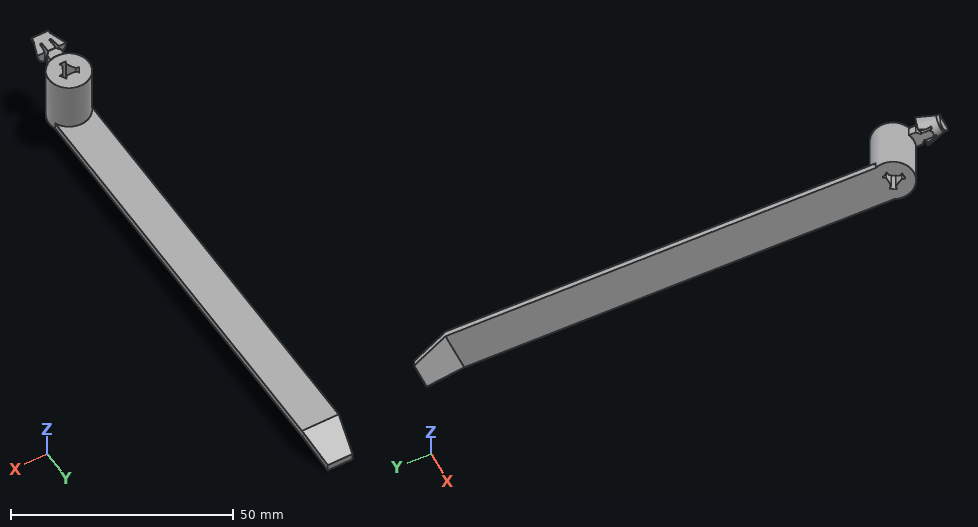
import cadquery as cq
import math

barrel_radius = 5.2
barrel_height = 15.0

overall_length = 130.9
plug_end = 12.7
strap_end = overall_length - plug_end
strap_half_width = 4.8
strap_thickness = 1.8
tip_length = 8.6
tip_drop = 4.2
tip_half_width = 3.3
bend = strap_end - tip_length

arm_count = 3
keyhole_shift = 0.3
arm_reach = 2.5
arm_tip_half_width = 0.8
waist_reach = 1.7
waist_half_width = 0.5
web_reach = 1.25

plug_depth = 2.9
collar_half_width = 1.8
collar_end = 6.5
neck_half_width = 0.9
head_start = 7.5
head_radius = 3.8
head_tip_radius = 2.2
tip_land = 0.8
slot_inner = 1.0
slot_mouth_outer = 1.8
slot_floor_outer = 1.5
slot_end = 10.2
collar_drop = 0.1
end_face_height = 1.2
end_setback = 0.5


def make_strap():
    profile = (
        cq.Workplane("YZ")
        .moveTo(0, 0)
        .lineTo(bend, 0)
        .lineTo(strap_end, -tip_drop)
        .lineTo(strap_end, strap_thickness - tip_drop)
        .lineTo(bend, strap_thickness)
        .lineTo(0, strap_thickness)
        .close()
        .extrude(strap_half_width, both=True)
    )
    outline = (
        cq.Workplane("XY", origin=(0, 0, -tip_drop))
        .polyline([
            (-strap_half_width, 0),
            (strap_half_width, 0),
            (strap_half_width, bend),
            (tip_half_width, strap_end),
            (-tip_half_width, strap_end),
            (-strap_half_width, bend),
        ])
        .close()
        .extrude(tip_drop + strap_thickness)
    )
    return profile.intersect(outline)


def arm_point(reach, offset, angle):
    """Point at a reach along an arm and an offset to its left."""
    return (
        reach * math.cos(angle) - offset * math.sin(angle),
        reach * math.sin(angle) + offset * math.cos(angle),
    )


def make_keyhole():
    pitch = 2 * math.pi / arm_count
    first = -math.pi / 2
    outline = cq.Workplane("XY").moveTo(*arm_point(waist_reach, -waist_half_width, first))
    for index in range(arm_count):
        angle = first + index * pitch
        outline = (
            outline
            .lineTo(*arm_point(arm_reach, -arm_tip_half_width, angle))
            .lineTo(*arm_point(arm_reach, arm_tip_half_width, angle))
            .lineTo(*arm_point(waist_reach, waist_half_width, angle))
            .threePointArc(
                arm_point(web_reach, 0, angle + pitch / 2),
                arm_point(waist_reach, -waist_half_width, angle + pitch),
            )
        )
    return outline.close().extrude(barrel_height).translate((0, -keyhole_shift, 0))


def hang_from_top(points, drop=0):
    """Prism down to the plug depth, with its upper face a drop below the barrel top."""
    return (
        cq.Workplane("XY", origin=(0, 0, barrel_height - drop))
        .polyline(points)
        .close()
        .extrude(drop - plug_depth)
    )


def make_collar_and_neck():
    collar_start = barrel_radius / 2
    collar = hang_from_top([
        (-collar_half_width, -collar_start),
        (collar_half_width, -collar_start),
        (collar_half_width, -collar_end),
        (-collar_half_width, -collar_end),
    ], collar_drop)
    neck = hang_from_top([
        (-collar_half_width, -collar_end),
        (collar_half_width, -collar_end),
        (neck_half_width, -head_start),
        (-neck_half_width, -head_start),
    ], collar_drop)
    return collar.union(neck)


def make_head():
    cone = (
        cq.Workplane("XY")
        .polyline([
            (0, -head_start),
            (head_radius, -head_start),
            (head_tip_radius, -plug_end + tip_land),
            (head_tip_radius, -plug_end),
            (0, -plug_end),
        ])
        .close()
        .revolve(360, (0, 0), (0, 1))
        .translate((0, 0, barrel_height))
    )
    envelope = hang_from_top([
        (-head_radius, -head_start),
        (head_radius, -head_start),
        (head_radius, -plug_end),
        (-head_radius, -plug_end),
    ])
    head = cone.intersect(envelope)
    for side in (-1, 1):
        slot = hang_from_top([
            (side * slot_inner, -head_start),
            (side * slot_mouth_outer, -head_start),
            (side * slot_floor_outer, -slot_end),
            (side * slot_inner, -slot_end),
        ])
        head = head.cut(slot)
    end_wedge = (
        cq.Workplane("YZ")
        .polyline([
            (-plug_end, barrel_height - end_face_height),
            (-plug_end, barrel_height - plug_depth),
            (-plug_end + end_setback, barrel_height - plug_depth),
        ])
        .close()
        .extrude(head_radius, both=True)
    )
    return head.cut(end_wedge)


barrel = cq.Workplane("XY").circle(barrel_radius).extrude(barrel_height)
body = barrel.union(make_strap()).union(make_collar_and_neck()).cut(make_keyhole())
result = body.union(make_head())